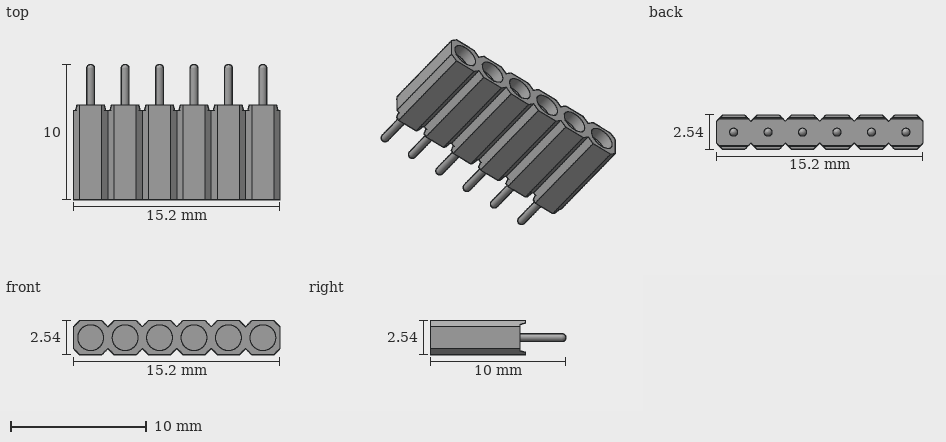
import cadquery as cq

length = 15.24
positions = 6
pitch = length / positions
height = pitch
body_depth = 7.01
chamfer = 0.45

channel_depth = 0.4
mouth_lip = 0.2
floor_lip = 0.3

socket_diameter = 1.9
socket_depth = 0.91
pin_diameter = 0.6
total_depth = 10.0
pin_tip_radius = 0.29

front = -total_depth / 2
body_back = front + body_depth
pin_back = front + total_depth
channel_floor = body_back - channel_depth
centers = [(i - (positions - 1) / 2) * pitch for i in range(positions)]


def cylinder_along_y(x, y_start, y_end, diameter):
    """Cylinder at height zero, running from y_start to y_end."""
    profile = cq.Workplane("XZ", origin=(x, y_start, 0)).circle(diameter / 2)
    return profile.extrude(y_start - y_end)


def housing():
    """Row of joined octagonal prisms."""
    body = cq.Workplane()
    for x in centers:
        block = cq.Workplane().box(pitch, body_depth, height).edges("|Y").chamfer(chamfer)
        body = body.union(block.translate((x, front + body_depth / 2, 0)))
    return body


def rear_channel():
    """Lengthwise channel whose walls taper inwards towards the floor."""
    mouth_half = height / 2 - mouth_lip
    floor_half = height / 2 - floor_lip
    outline = [
        (body_back, -mouth_half),
        (body_back, mouth_half),
        (channel_floor, floor_half),
        (channel_floor, -floor_half),
    ]
    return cq.Workplane("YZ").polyline(outline).close().extrude(length / 2, both=True)


def pin(x):
    """Solder pin with a rounded tip."""
    rod = cylinder_along_y(x, channel_floor, pin_back, pin_diameter)
    return rod.faces(">Y").edges().fillet(pin_tip_radius)


result = housing().cut(rear_channel())
for center_x in centers:
    result = result.cut(cylinder_along_y(center_x, front, front + socket_depth, socket_diameter))
    result = result.union(pin(center_x))